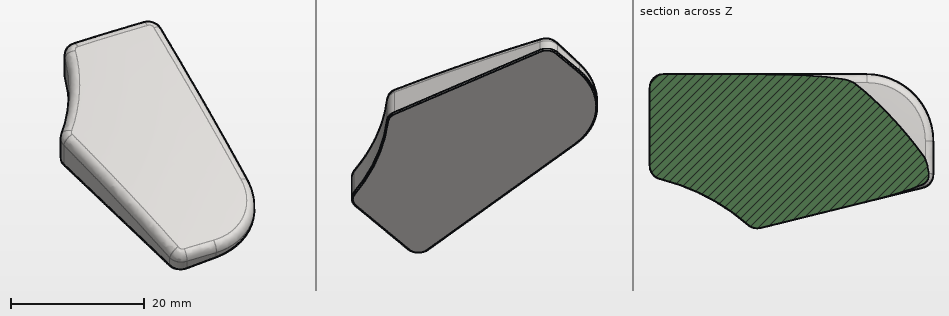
import cadquery as cq
import math

length = 42.4
back_y = 23.05
left_corner_y = 7.7
tip_x = 15.5
tip_y = -0.2
right_corner_y = 6.45
scoop_radius = 31.38
big_corner_radius = 10.1
corner_radius = 2.1

scoop_height = 6.55
crown_radius = 207.75
crown_start_slope = 0.06
crown_reach = 63.6

top_fillet = 1.5
bottom_chamfer = 0.2

chord_x = tip_x
chord_y = tip_y - left_corner_y
chord = math.hypot(chord_x, chord_y)
bisector_length = math.sqrt(scoop_radius**2 - (chord / 2)**2)
axis_x = chord_x / 2 + bisector_length * chord_y / chord
axis_y = left_corner_y + chord_y / 2 - bisector_length * chord_x / chord
scoop_middle = (
    axis_x - scoop_radius * chord_y / chord,
    axis_y + scoop_radius * chord_x / chord,
)

crown_tilt = math.atan(crown_start_slope)
crown_center_r = scoop_radius - crown_radius * math.sin(crown_tilt)
crown_center_z = scoop_height - crown_radius * math.cos(crown_tilt)


def crown_height(radius):
    """Height of the crowned top at a distance from the scoop axis."""
    return crown_center_z + math.sqrt(crown_radius**2 - (radius - crown_center_r)**2)


def make_blank():
    """Upright block with the plan outline and rounded corners."""
    block = (
        cq.Workplane("XY")
        .moveTo(0, back_y)
        .lineTo(0, left_corner_y)
        .threePointArc(scoop_middle, (tip_x, tip_y))
        .lineTo(length, right_corner_y)
        .lineTo(length, back_y)
        .close()
        .extrude(2 * scoop_height)
    )
    block = block.edges("|Z").edges(">(1, 1, 0)").fillet(big_corner_radius)
    sharp_corners = [(0, back_y), (0, left_corner_y), (tip_x, tip_y), (length, right_corner_y)]
    for x, y in sharp_corners:
        corner = cq.selectors.NearestToPointSelector((x, y, scoop_height))
        block = block.edges("|Z").edges(corner).fillet(corner_radius)
    return block


def make_crown():
    """Solid of revolution under the crowned top."""
    inner_r = scoop_radius / 2
    middle_r = (inner_r + crown_reach) / 2
    return (
        cq.Workplane("XZ")
        .moveTo(inner_r, 0)
        .lineTo(inner_r, crown_height(inner_r))
        .threePointArc((middle_r, crown_height(middle_r)), (crown_reach, crown_height(crown_reach)))
        .lineTo(crown_reach, 0)
        .close()
        .revolve(360, (0, 0, 0), (0, 1, 0))
        .translate((axis_x, axis_y, 0))
    )


body = make_blank().intersect(make_crown())
body = body.faces("<Z").edges().chamfer(bottom_chamfer)
top_face = cq.selectors.NearestToPointSelector((length / 2, back_y / 2, scoop_height))
result = body.faces(top_face).edges().fillet(top_fillet)